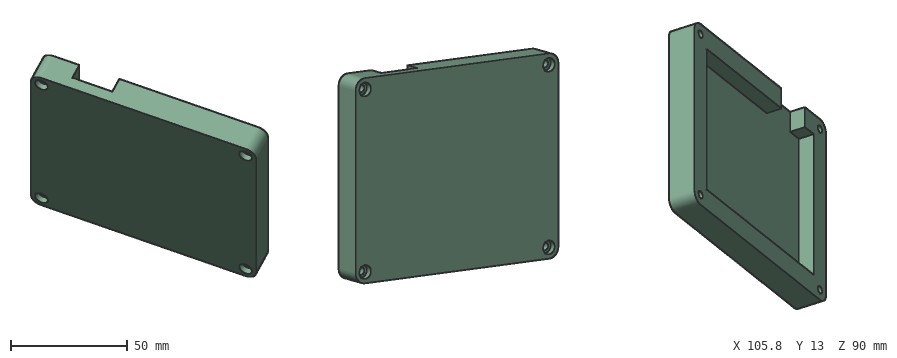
import cadquery as cq

length = 105.75
thickness = 13.0
height = 90.01
corner_radius = 5.0

hole_diameter = 3.4
counterbore_diameter = 6.0
counterbore_depth = 3.1

front_wall = 5.5
border = 10.0

notch_left = 17.15
notch_width = 18.7


def make_plate():
    """Rounded plate with its front face on Y = 0 and its lower left corner at X = Z = 0."""
    return (
        cq.Workplane("XY")
        .box(length, thickness, height, centered=False)
        .edges("|Y")
        .fillet(corner_radius)
    )


def cut_screw_holes(body):
    """Through holes in the four corners, counterbored from the front face."""
    corners = [
        (x, z)
        for x in (corner_radius, length - corner_radius)
        for z in (corner_radius, height - corner_radius)
    ]
    front = cq.Workplane("XZ").pushPoints(corners)
    holes = front.circle(hole_diameter / 2).extrude(-thickness)
    counterbores = front.circle(counterbore_diameter / 2).extrude(-counterbore_depth)
    return body.cut(holes).cut(counterbores)


def back_pocket(left, bottom, width, pocket_height):
    """Cutting block that reaches from the front wall to the back face."""
    return (
        cq.Workplane("XY")
        .box(width, thickness - front_wall, pocket_height, centered=False)
        .translate((left, front_wall, bottom))
    )


def cut_cavity(body):
    """Hollow out the back, leaving the front wall and the border."""
    return body.cut(back_pocket(border, border, length - 2 * border, height - 2 * border))


def cut_notch(body):
    """Open the cavity through the top border."""
    return body.cut(back_pocket(notch_left, height - border, notch_width, border))


plate = make_plate()
plate = cut_screw_holes(plate)
plate = cut_cavity(plate)
result = cut_notch(plate)